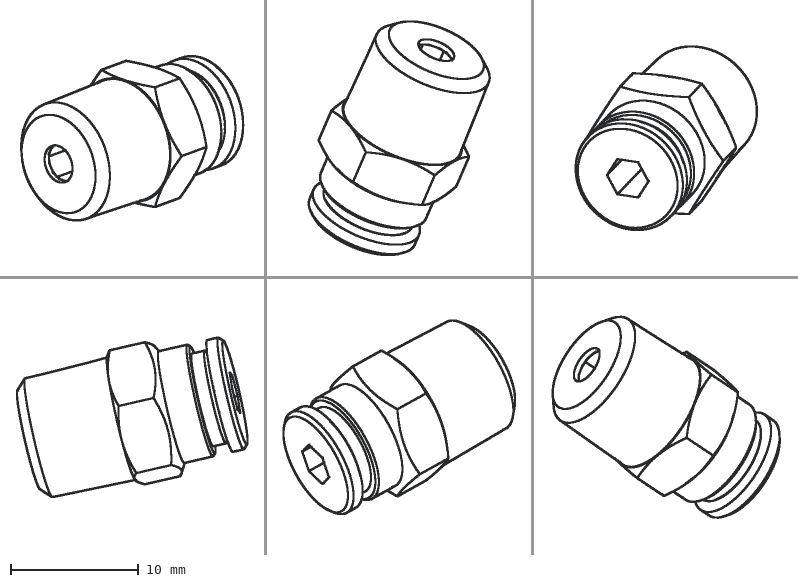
import cadquery as cq
import math

total_length = 16.6
hex_start = 7.49
hex_end = 11.49
sleeve_end = 14.0
neck_end = 15.02
head_start = 15.39

thread_tip_radius = 4.78
thread_base_radius = 4.93
thread_chamfer = 0.8
hex_across_flats = 10.0
sleeve_radius = 4.5
sleeve_chamfer = 0.2
neck_radius = 3.74
head_chamfer = 0.32
hex_chamfer_angle = math.radians(30)

bore_diameter = 3.0
bore_lip_length = 0.51


def hexagon(across_flats, start, end):
    """Hexagonal prism along Y, with two corners on the X axis."""
    corner_diameter = across_flats / math.cos(math.radians(30))
    plane = cq.Plane(origin=(0, start, 0), xDir=(1, 0, 0), normal=(0, 1, 0))
    return cq.Workplane(plane).polygon(6, corner_diameter).extrude(end - start)


def make_hex_body():
    """Wrench hexagon with conical chamfers at both ends."""
    corner_radius = hex_across_flats / 2 / math.cos(math.radians(30))
    flat_radius = hex_across_flats / 2
    slope = math.tan(hex_chamfer_angle)
    cone_profile = [
        (0, hex_start),
        (flat_radius, hex_start),
        (corner_radius, hex_start + (corner_radius - flat_radius) * slope),
        (corner_radius, hex_end - (corner_radius - sleeve_radius) * slope),
        (sleeve_radius, hex_end),
        (0, hex_end),
    ]
    cones = cq.Workplane("XY").polyline(cone_profile).close().revolve(360, (0, 0, 0), (0, 1, 0))
    return hexagon(hex_across_flats, hex_start, hex_end).intersect(cones)


def make_turned_body():
    """Tapered thread blank, sleeve, neck with a half-round groove, and release head."""
    groove_radius = (head_start - neck_end) / 2
    groove_bottom = (neck_radius - groove_radius, neck_end + groove_radius)
    return (
        cq.Workplane("XY")
        .lineTo(thread_tip_radius - thread_chamfer, 0)
        .lineTo(thread_tip_radius, thread_chamfer)
        .lineTo(thread_base_radius, hex_start)
        .lineTo(sleeve_radius, hex_start)
        .lineTo(sleeve_radius, sleeve_end - sleeve_chamfer)
        .lineTo(sleeve_radius - sleeve_chamfer, sleeve_end)
        .lineTo(neck_radius, sleeve_end)
        .lineTo(neck_radius, neck_end)
        .threePointArc(groove_bottom, (neck_radius, head_start))
        .lineTo(sleeve_radius, head_start)
        .lineTo(sleeve_radius, total_length - head_chamfer)
        .lineTo(sleeve_radius - head_chamfer, total_length)
        .lineTo(0, total_length)
        .close()
        .revolve(360, (0, 0, 0), (0, 1, 0))
    )


def make_bore():
    """Round entry followed by a hexagonal passage of the same width."""
    entry = cq.Workplane("XZ").circle(bore_diameter / 2).extrude(-bore_lip_length)
    return entry.union(hexagon(bore_diameter, bore_lip_length, total_length))


result = make_turned_body().union(make_hex_body()).cut(make_bore())